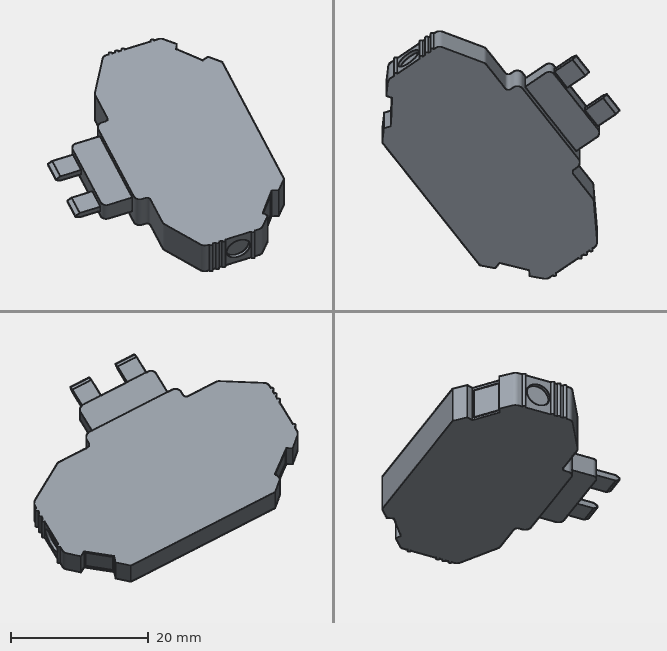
import cadquery as cq
import math

thickness = 5.8
overall_width = 39.57
rib_radius = 0.28
side_x = overall_width / 2 - rib_radius
back_y = 21.5
back_half_width = 12.0

seat_upper_tip = (13.7, back_y - 1.55)
seat_upper_root = (13.37, back_y - 2.55)
seat_lower_root = (16.8, back_y - 5.3)
seat_lower_tip = (17.6, back_y - 4.83)
side_top_y = back_y - 6.55

side_bottom_y = back_y - 15.63
shoulder_y = 2.0
shoulder_x = 13.3
neck_half_width = 7.85
side_top_fillet = 0.9
side_bottom_fillet = 1.0
shoulder_fillet = 0.87
neck_root_fillet = 0.55
neck_tip_fillet = 0.95

rib_pitch = 1.0
front_rib_count = 3
first_rib_y = back_y - 12.5
back_rib_y = back_y - 7.9

recess_radius = 1.82
recess_depth = 0.5
recess_y = back_y - 10.2

pocket_margin = 0.2
pocket_wall = 0.47
pocket_depth = 0.1

plug_width = 12.6
plug_length = 4.6
plug_height = 3.13
plug_center_z = 3.32
plug_fillet = 0.87
blade_width = 3.15
blade_spacing = 7.5
blade_thickness = 1.0
blade_length = 3.9
blade_taper_length = 0.67
blade_tip_thickness = 0.2


def mirrored(shape):
    """Return the shape together with its mirror image in the YZ plane."""
    return shape.union(shape.mirror("YZ"))


def make_case():
    right_outline = [
        (back_half_width, back_y),
        seat_upper_tip,
        seat_upper_root,
        seat_lower_root,
        seat_lower_tip,
        (side_x, side_top_y),
        (side_x, side_bottom_y),
        (shoulder_x, shoulder_y),
        (neck_half_width, shoulder_y),
        (neck_half_width, 0),
    ]
    left_outline = [(-x, y) for x, y in reversed(right_outline)]
    case = cq.Workplane("XY").polyline(right_outline + left_outline).close().extrude(thickness)

    rounded_corners = [
        (side_x, side_top_y, side_top_fillet),
        (side_x, side_bottom_y, side_bottom_fillet),
        (shoulder_x, shoulder_y, shoulder_fillet),
        (neck_half_width, shoulder_y, neck_root_fillet),
        (neck_half_width, 0, neck_tip_fillet),
    ]
    for x, y, radius in rounded_corners:
        for side in (-1, 1):
            corner_edge = cq.selectors.NearestToPointSelector((side * x, y, thickness / 2))
            case = case.edges("|Z").edges(corner_edge).fillet(radius)
    return case


def make_ribs():
    rib_places = [(side_x, back_rib_y)]
    for i in range(front_rib_count):
        rib_places.append((side_x, first_rib_y - i * rib_pitch))
    return mirrored(cq.Workplane("XY").pushPoints(rib_places).circle(rib_radius).extrude(thickness))


def make_side_recesses():
    recess = (
        cq.Workplane("YZ", origin=(side_x - recess_depth, recess_y, thickness / 2))
        .circle(recess_radius)
        .extrude(recess_depth + rib_radius)
    )
    return mirrored(recess)


def make_seat_pockets():
    run = seat_lower_root[0] - seat_upper_root[0]
    drop = seat_upper_root[1] - seat_lower_root[1]
    seat_length = math.hypot(run, drop)
    seat_middle = (
        (seat_upper_root[0] + seat_lower_root[0]) / 2,
        (seat_upper_root[1] + seat_lower_root[1]) / 2,
        thickness / 2,
    )
    seat_plane = cq.Plane(origin=seat_middle, xDir=(run, -drop, 0), normal=(drop, run, 0))
    pocket = (
        cq.Workplane(seat_plane)
        .rect(seat_length - 2 * pocket_margin, thickness - 2 * pocket_wall)
        .extrude(-pocket_depth)
    )
    return mirrored(pocket)


def make_housing():
    return make_case().union(make_ribs()).cut(make_side_recesses()).cut(make_seat_pockets())


def make_blade(center_x):
    root_y = -plug_length
    taper_y = root_y - blade_length + blade_taper_length
    tip_y = root_y - blade_length
    half_thickness = blade_thickness / 2
    half_tip = blade_tip_thickness / 2
    side_profile = [
        (root_y, half_thickness),
        (taper_y, half_thickness),
        (tip_y, half_tip),
        (tip_y, -half_tip),
        (taper_y, -half_thickness),
        (root_y, -half_thickness),
    ]
    return (
        cq.Workplane("YZ", origin=(center_x, 0, plug_center_z))
        .polyline(side_profile)
        .close()
        .extrude(blade_width / 2, both=True)
    )


def make_plug():
    plug = (
        cq.Workplane("XY", origin=(0, -plug_length / 2, plug_center_z))
        .box(plug_width, plug_length, plug_height)
        .edges("|Z and <Y")
        .fillet(plug_fillet)
    )
    for side in (-1, 1):
        plug = plug.union(make_blade(side * blade_spacing / 2))
    return plug


housing = make_housing()
plug = make_plug()
result = cq.Compound.makeCompound([housing.val(), plug.val()])